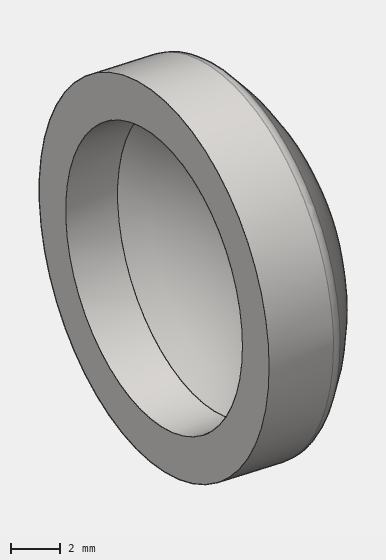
import cadquery as cq
import math

outer_radius = 8.6
bore_radius = 6.6
total_height = 7.0
dome_radius = 11.87
dome_thickness = 2.0
edge_fillet = 0.6

dome_center_y = total_height - dome_radius
cavity_radius = dome_radius - dome_thickness


def sphere_height(sphere_radius, distance_from_axis):
    """Y position on a dome surface at a given distance from the axis."""
    return dome_center_y + math.sqrt(sphere_radius**2 - distance_from_axis**2)


def domed_solid(rim_radius, sphere_radius):
    """Cylinder from y = 0 closed by a spherical dome."""
    apex_y = dome_center_y + sphere_radius
    half_rim = rim_radius / 2
    profile = (
        cq.Workplane("XY")
        .lineTo(rim_radius, 0)
        .lineTo(rim_radius, sphere_height(sphere_radius, rim_radius))
        .threePointArc((half_rim, sphere_height(sphere_radius, half_rim)), (0, apex_y))
        .close()
    )
    return profile.revolve(360, (0, 0, 0), (0, 1, 0))


body = (
    domed_solid(outer_radius, dome_radius)
    .faces("%CYLINDER")
    .edges(">Y")
    .fillet(edge_fillet)
)

cavity = domed_solid(bore_radius, cavity_radius)

result = body.cut(cavity)